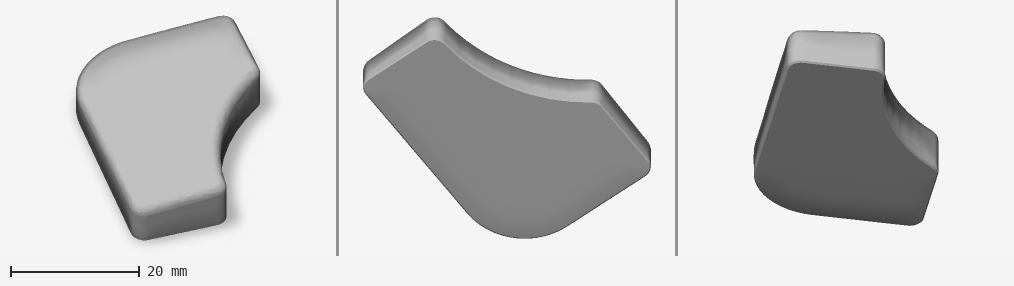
import cadquery as cq
import math

LENGTH = 39.8
WIDTH = 28.4
HEIGHT = 7.88

CONCAVE_RADIUS = 28.75
CONCAVE_CENTRE_TO_RIGHT = 0.45
CONCAVE_CENTRE_TO_FRONT = 44.2
CORNER_RADIUS = 2.2
FRONT_LEFT_RADIUS = 11.1

DOME_RADIUS = 400.0
TOP_FILLET = 1.5
BOTTOM_CHAMFER = 0.25

X_RIGHT = CONCAVE_CENTRE_TO_RIGHT
X_LEFT = X_RIGHT - LENGTH
Y_FRONT = -CONCAVE_CENTRE_TO_FRONT
Y_BACK = Y_FRONT + WIDTH

CORNER_ORBIT = CONCAVE_RADIUS + CORNER_RADIUS
BACK_CORNER_Y = Y_BACK - CORNER_RADIUS
BACK_CORNER_X = -math.sqrt(CORNER_ORBIT**2 - BACK_CORNER_Y**2)
RIGHT_CORNER_X = X_RIGHT - CORNER_RADIUS
RIGHT_CORNER_Y = -math.sqrt(CORNER_ORBIT**2 - RIGHT_CORNER_X**2)


def polar(radius, angle, centre=(0, 0)):
    """Point at the given radius and angle (radians) around a centre."""
    return (centre[0] + radius * math.cos(angle), centre[1] + radius * math.sin(angle))


def body_outline():
    """Closed outline, counter-clockwise from the start of the front edge."""
    quarter = math.pi / 2
    back_corner = (BACK_CORNER_X, BACK_CORNER_Y)
    right_corner = (RIGHT_CORNER_X, RIGHT_CORNER_Y)
    front_right_corner = (RIGHT_CORNER_X, Y_FRONT + CORNER_RADIUS)
    back_left_corner = (X_LEFT + CORNER_RADIUS, BACK_CORNER_Y)
    front_left_corner = (X_LEFT + FRONT_LEFT_RADIUS, Y_FRONT + FRONT_LEFT_RADIUS)

    back_angle = math.atan2(BACK_CORNER_Y, BACK_CORNER_X)
    right_angle = math.atan2(RIGHT_CORNER_Y, RIGHT_CORNER_X)

    def arc(sketch, centre, radius, start, end):
        middle = (start + end) / 2
        return sketch.threePointArc(polar(radius, middle, centre), polar(radius, end, centre))

    outline = cq.Workplane("XY").moveTo(front_left_corner[0], Y_FRONT)
    outline = outline.lineTo(front_right_corner[0], Y_FRONT)
    outline = arc(outline, front_right_corner, CORNER_RADIUS, -quarter, 0)
    outline = outline.lineTo(X_RIGHT, RIGHT_CORNER_Y)
    outline = arc(outline, right_corner, CORNER_RADIUS, 0, right_angle + math.pi)
    outline = arc(outline, (0, 0), CONCAVE_RADIUS, right_angle, back_angle)
    outline = arc(outline, back_corner, CORNER_RADIUS, back_angle + math.pi, quarter)
    outline = outline.lineTo(back_left_corner[0], Y_BACK)
    outline = arc(outline, back_left_corner, CORNER_RADIUS, quarter, math.pi)
    outline = outline.lineTo(X_LEFT, front_left_corner[1])
    outline = arc(outline, front_left_corner, FRONT_LEFT_RADIUS, math.pi, 3 * quarter)
    return outline.close()


def dome():
    """Sphere centred on the Z axis whose top makes the body its full height.

    The highest point lies on the fillet along the concave edge, one fillet radius
    above the fillet's centre line.
    """
    fillet_centre_radius = CONCAVE_RADIUS + TOP_FILLET
    fillet_centre_height = HEIGHT - TOP_FILLET
    inner_dome_radius = DOME_RADIUS - TOP_FILLET
    centre_drop = math.sqrt(inner_dome_radius**2 - fillet_centre_radius**2)
    return cq.Workplane("XY").sphere(DOME_RADIUS).translate((0, 0, fillet_centre_height - centre_drop))


def body():
    """Domed block with a rounded top rim and a small chamfer around the base."""
    blank = body_outline().extrude(2 * HEIGHT)
    domed = blank.intersect(dome())
    chamfered = domed.faces("<Z").chamfer(BOTTOM_CHAMFER)
    return chamfered.faces(">Z").edges().fillet(TOP_FILLET)


result = body()